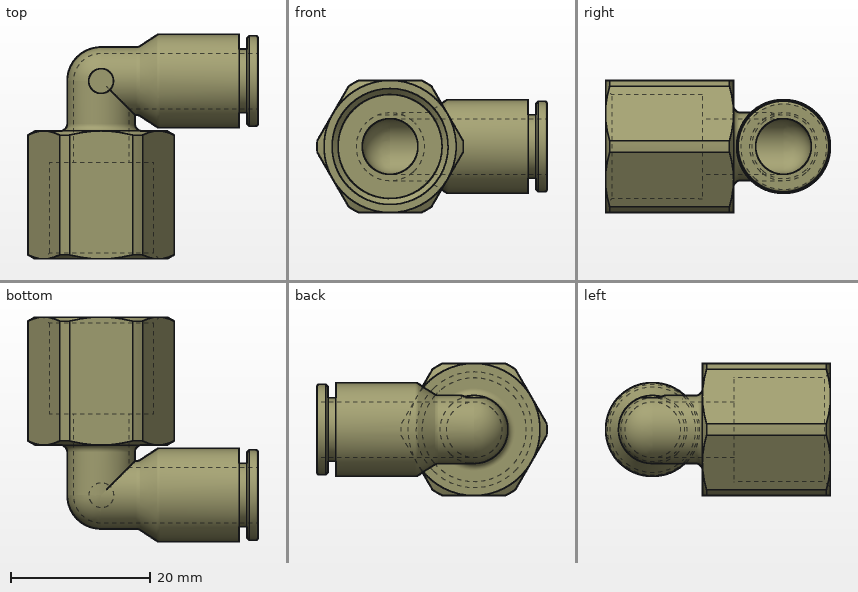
import cadquery as cq
import math


across_flats = 19.0
corner_radius = 10.53
nut_top_y = -7.18
nut_length = 18.4
nut_chamfer_angle = 30.0
nut_bore_radius = 7.48
nut_bore_depth = 13.9
mouth_chamfer = 0.85

elbow_radius = 4.9
neck_fillet = 1.0
flow_radius = 4.0
badge_radius = 1.8
badge_floor_z = 4.57

cone_start_x = 5.4
cone_end_x = 8.2
socket_radius = 6.75
socket_end_x = 19.85
cone_start_fillet = 0.9
cone_end_fillet = 0.65
groove_radius = 4.6
collar_start_x = 20.95
collar_end_x = 22.57
collar_radius = 6.52
collar_back_chamfer = 0.35
collar_front_fillet = 0.35

nut_bottom_y = nut_top_y - nut_length


def cylinder_y(radius, start_y, end_y):
    plane = cq.Workplane("XZ", origin=(0, start_y, 0))
    return plane.circle(radius).extrude(start_y - end_y)


def cylinder_x(radius, start_x, end_x):
    plane = cq.Workplane("YZ", origin=(start_x, 0, 0))
    return plane.circle(radius).extrude(end_x - start_x)


def make_nut():
    """Hexagon with turned corners and 30 degree chamfers at both ends."""
    corner_diameter = across_flats / math.cos(math.radians(30))
    hexagon = (
        cq.Workplane("XZ", origin=(0, nut_top_y, 0))
        .polygon(6, corner_diameter)
        .extrude(nut_length)
    )
    face_radius = across_flats / 2
    chamfer_height = (corner_radius - face_radius) * math.tan(math.radians(nut_chamfer_angle))
    turned_envelope = (
        cq.Workplane("XY")
        .moveTo(0, nut_top_y)
        .lineTo(face_radius, nut_top_y)
        .lineTo(corner_radius, nut_top_y - chamfer_height)
        .lineTo(corner_radius, nut_bottom_y + chamfer_height)
        .lineTo(face_radius, nut_bottom_y)
        .lineTo(0, nut_bottom_y)
        .close()
        .revolve(360, (0, 0, 0), (0, 1, 0))
    )
    return hexagon.intersect(turned_envelope)


def make_neck():
    """Upright leg of the elbow, flaring into the top of the nut."""
    flare_radius = elbow_radius + neck_fillet
    flare_top_y = nut_top_y + neck_fillet
    arc_offset = neck_fillet * math.sqrt(0.5)
    return (
        cq.Workplane("XY")
        .lineTo(elbow_radius, 0)
        .lineTo(elbow_radius, flare_top_y)
        .threePointArc(
            (flare_radius - arc_offset, flare_top_y - arc_offset),
            (flare_radius, nut_top_y),
        )
        .lineTo(0, nut_top_y)
        .close()
        .revolve(360, (0, 0, 0), (0, 1, 0))
    )


def make_socket():
    """Horizontal leg widening through a blended cone into the tube socket."""
    blank = (
        cq.Workplane("XY")
        .lineTo(0, elbow_radius)
        .lineTo(cone_start_x, elbow_radius)
        .lineTo(cone_end_x, socket_radius)
        .lineTo(socket_end_x, socket_radius)
        .lineTo(socket_end_x, 0)
        .close()
        .revolve(360, (0, 0, 0), (1, 0, 0))
    )
    cone = blank.faces("%CONE")
    blank = blank.newObject(cone.edges("%CIRCLE").edges("<X").vals()).fillet(cone_start_fillet)
    cone = blank.faces("%CONE")
    return blank.newObject(cone.edges("%CIRCLE").edges(">X").vals()).fillet(cone_end_fillet)


def make_collar():
    """Collar with a chamfered back and rounded front, joined to the socket by a narrower groove."""
    collar = cylinder_x(collar_radius, collar_start_x, collar_end_x)
    collar = collar.faces("<X").chamfer(collar_back_chamfer)
    collar = collar.faces(">X").edges().fillet(collar_front_fillet)
    return collar.union(cylinder_x(groove_radius, socket_end_x, collar_start_x))


def make_passages():
    """Nut bore with a chamfered mouth, and a flow passage turning at the elbow."""
    nut_bore = cylinder_y(nut_bore_radius, nut_bottom_y + nut_bore_depth, nut_bottom_y)
    mouth = cq.Solid.makeCone(
        nut_bore_radius + mouth_chamfer,
        nut_bore_radius,
        mouth_chamfer,
        cq.Vector(0, nut_bottom_y, 0),
        cq.Vector(0, 1, 0),
    )
    turn = cq.Workplane("XY").sphere(flow_radius)
    upright = cylinder_y(flow_radius, 0, nut_bottom_y)
    outlet = cylinder_x(flow_radius, 0, collar_end_x)
    return nut_bore.union(cq.Workplane(mouth)).union(turn).union(upright).union(outlet)


def make_badge_recess():
    """Shallow round flat on top of the elbow."""
    plane = cq.Workplane("XY", origin=(0, 0, badge_floor_z))
    return plane.circle(badge_radius).extrude(elbow_radius)


elbow = cq.Workplane("XY").sphere(elbow_radius).union(make_neck()).union(make_socket())
body = elbow.union(make_nut()).union(make_collar())
result = body.cut(make_passages()).cut(make_badge_recess())